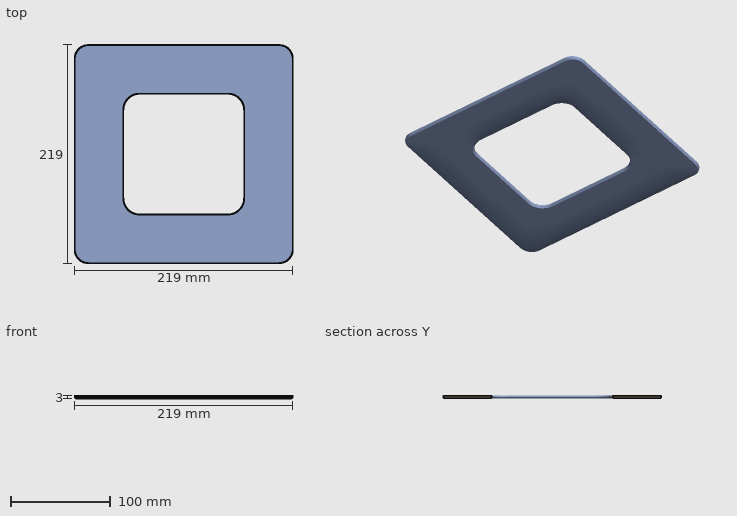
import cadquery as cq

outer_side = 219.0
thickness = 3.0
border_width = 49.0
outer_corner_radius = 14.0
opening_corner_radius = 16.0
bottom_chamfer = 1.5

opening_side = outer_side - 2 * border_width


def rounded_square_plate(side, corner_radius):
    """Square plate resting on Z = 0, with its vertical edges rounded."""
    plate = cq.Workplane("XY").rect(side, side).extrude(thickness)
    return plate.edges("|Z").fillet(corner_radius)


outer_plate = rounded_square_plate(outer_side, outer_corner_radius)
opening = rounded_square_plate(opening_side, opening_corner_radius)
frame = outer_plate.cut(opening)

result = frame.faces("<Z").edges().chamfer(bottom_chamfer)